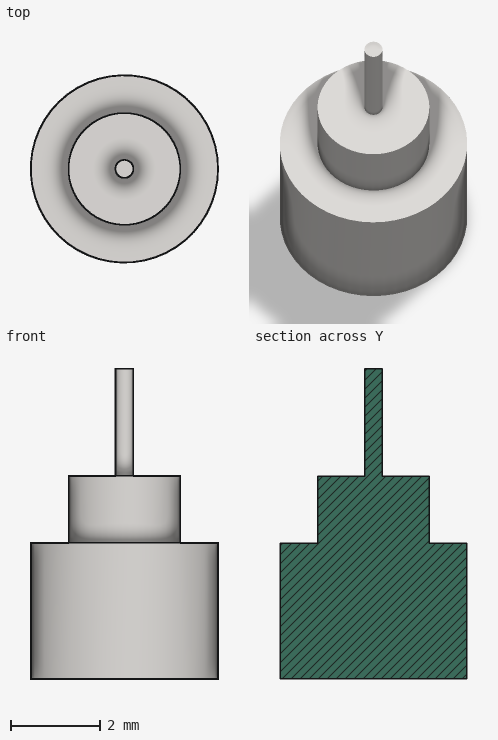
import cadquery as cq

total_height = 6.95
body_diameter = 4.2
body_height = 3.05
neck_diameter = 2.5
neck_height = 1.5
pin_diameter = 0.4
pin_height = total_height - body_height - neck_height

body = cq.Workplane("XY").circle(body_diameter / 2).extrude(body_height)

with_neck = body.faces(">Z").workplane().circle(neck_diameter / 2).extrude(neck_height)

result = with_neck.faces(">Z").workplane().circle(pin_diameter / 2).extrude(pin_height)